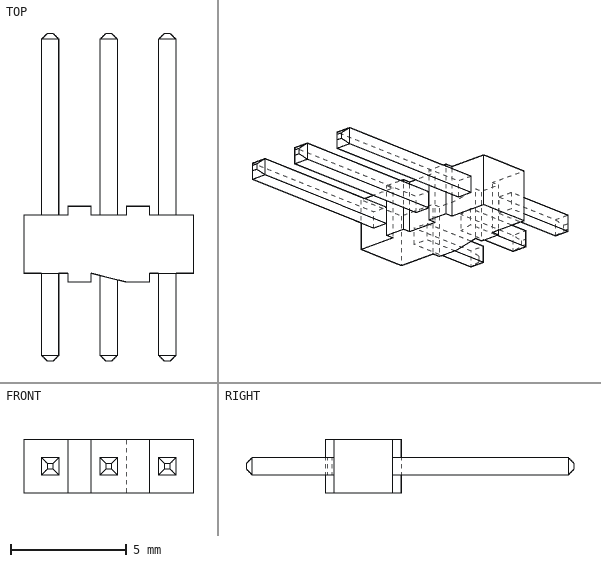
import cadquery as cq

pitch = 2.54
pin_count = 3
housing_length = 7.366
housing_depth = 2.54
housing_height = 2.337
rib_width = 1.016
rib_depth = 0.381
pin_size = 0.762
front_pin_length = 3.81
rear_pin_length = 7.874
tip_chamfer = 0.254

half_depth = housing_depth / 2
rib_inner_x = (pitch - rib_width) / 2
pin_length = front_pin_length + housing_depth + rear_pin_length
pin_center_y = (rear_pin_length - front_pin_length) / 2


def centered_positions(count):
    """X positions of evenly pitched features, symmetric about X = 0."""
    return [(index - (count - 1) / 2) * pitch for index in range(count)]


def make_housing():
    """Plain block with a rib through its full depth between each pair of pins."""
    housing = cq.Workplane("XY").box(housing_length, housing_depth, housing_height)
    for rib_x in centered_positions(pin_count - 1):
        rib = cq.Workplane("XY").box(rib_width, housing_depth + 2 * rib_depth, housing_height)
        housing = housing.union(rib.translate((rib_x, 0, 0)))
    return housing


def make_ramp():
    """Polarizing wedge rising from the -X rib's root to the crest of the +X rib on the -Y face."""
    return (
        cq.Workplane("XY")
        .workplane(offset=-housing_height / 2)
        .moveTo(-rib_inner_x, -half_depth)
        .lineTo(rib_inner_x, -half_depth - rib_depth)
        .lineTo(rib_inner_x, -half_depth)
        .close()
        .extrude(housing_height)
    )


def make_pin(pin_x):
    """Square pin along Y, tapered on all four sides at both ends."""
    pin = cq.Workplane("XY").box(pin_size, pin_length, pin_size)
    pin = pin.faces("<Y or >Y").chamfer(tip_chamfer)
    return pin.translate((pin_x, pin_center_y, 0))


result = make_housing().union(make_ramp())
for pin_x in centered_positions(pin_count):
    result = result.union(make_pin(pin_x))